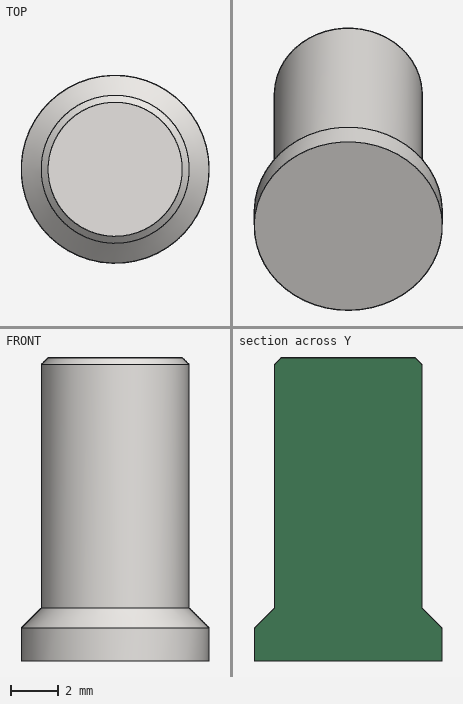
import cadquery as cq

total_height = 12.9
head_diameter = 8.0
shank_diameter = 6.3

rim_height = 1.4
tip_chamfer = 0.3

taper_height = (head_diameter - shank_diameter) / 2


def make_pin():
    """Revolve the half profile of the headed pin about Z."""
    head_radius = head_diameter / 2
    shank_radius = shank_diameter / 2
    return (
        cq.Workplane("XZ")
        .moveTo(0, 0)
        .lineTo(head_radius, 0)
        .lineTo(head_radius, rim_height)
        .lineTo(shank_radius, rim_height + taper_height)
        .lineTo(shank_radius, total_height)
        .lineTo(0, total_height)
        .close()
        .revolve(360, (0, 0, 0), (0, 1, 0))
    )


result = make_pin().faces(">Z").edges().chamfer(tip_chamfer)